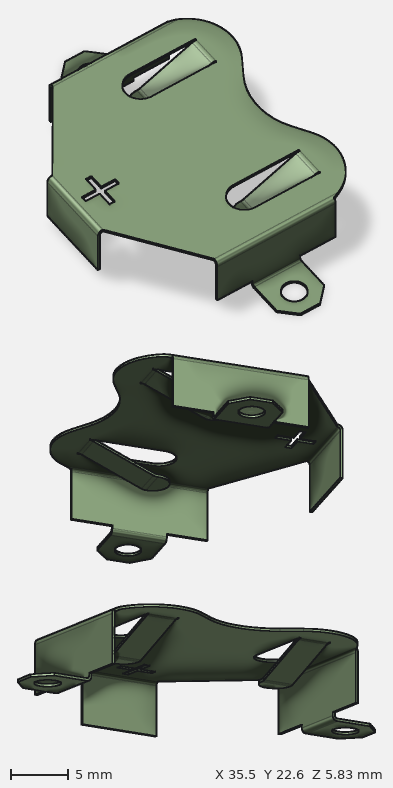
import cadquery as cq
import math

thickness = 0.25
overall_length = 35.55
overall_height = 5.83
plate_mid_z = overall_height - thickness / 2

side_flange_face_x = 12.7
side_flange_width = 12.65
front_flange_face_y = 12.85
front_flange_width = 7.65
flange_height = 5.1
flange_bend = 0.55
side_bend_x = side_flange_face_x - flange_bend
front_bend_y = front_flange_face_y - flange_bend

tab_width = 5.1
tab_bend = 0.2
tab_chamfer = 1.5
tab_hole_diameter = 2.35
tab_hole_x = 15.35

lobe_x = 7.82
lobe_radius = 4.8
notch_radius = 6.75
rear_y = 9.78
notch_bottom_y = 6.97
lobe_y = rear_y - lobe_radius

slot_width = 3.2
slot_rear_y = 6.97
finger_width = 2.95
finger_tip_y = -0.95
finger_depth = 2.77
finger_angle = math.radians(23)
finger_root_bend = 0.95
finger_pad_bend = 0.95

plus_y = -9.85
plus_length = 3.55
plus_stroke = 0.57

overlap = 0.35
cut_depth = 2 * thickness


def bent_strip(path, start_x, width):
    """Sheet strip following a middle line in XZ that leaves start_x along +X in the plate."""
    section = cq.Workplane("YZ", origin=(start_x, 0, plate_mid_z)).rect(width, thickness)
    return section.sweep(path)


def fold_path(bend_x):
    """Middle line running along the plate and turning down at bend_x."""
    radius = flange_bend - thickness / 2
    path = cq.Workplane("XZ").moveTo(bend_x - overlap, plate_mid_z)
    return path.hLine(overlap).tangentArcPoint((radius, -radius))


def flange(bend_x, width):
    """Plain flange folded straight down."""
    path = fold_path(bend_x).vLineTo(overall_height - flange_height)
    return bent_strip(path, bend_x - overlap, width)


def plate():
    """Flat top, bounded by the bend lines and the rear lobes."""
    lobe_to_bend = side_bend_x - lobe_x
    lobe_end_y = lobe_y + math.sqrt(lobe_radius**2 - lobe_to_bend**2)
    notch_y = notch_bottom_y + notch_radius
    rise = notch_y - lobe_y
    centre_distance = math.hypot(lobe_x, rise)
    tangent_turn = math.asin((lobe_radius + notch_radius) / centre_distance)
    line_angle = tangent_turn - math.atan2(rise, lobe_x)
    lobe_joint_x = lobe_x - lobe_radius * math.sin(line_angle)
    lobe_joint_y = lobe_y + lobe_radius * math.cos(line_angle)
    notch_joint_x = notch_radius * math.sin(line_angle)
    notch_joint_y = notch_y - notch_radius * math.cos(line_angle)
    outline = (
        cq.Workplane("XY", origin=(0, 0, overall_height - thickness))
        .moveTo(-front_flange_width / 2, -front_bend_y)
        .lineTo(front_flange_width / 2, -front_bend_y)
        .lineTo(side_bend_x, -side_flange_width / 2)
        .lineTo(side_bend_x, lobe_end_y)
        .threePointArc((lobe_x, rear_y), (lobe_joint_x, lobe_joint_y))
        .lineTo(notch_joint_x, notch_joint_y)
        .threePointArc((0, notch_bottom_y), (-notch_joint_x, notch_joint_y))
        .lineTo(-lobe_joint_x, lobe_joint_y)
        .threePointArc((-lobe_x, rear_y), (-side_bend_x, lobe_end_y))
        .lineTo(-side_bend_x, -side_flange_width / 2)
        .close()
    )
    return outline.extrude(thickness)


def lobe_edge():
    """Sliver of the lobe that continues past the bend line and curls down with it."""
    strip = flange(side_bend_x, 2 * lobe_radius).translate((0, lobe_y, 0))
    lobe = cq.Workplane("XY").center(lobe_x, lobe_y).circle(lobe_radius).extrude(overall_height)
    return strip.intersect(lobe)


def solder_tab():
    """Strip down the side flange and out to a chamfered tab with a hole."""
    radius = tab_bend + thickness / 2
    path = (
        fold_path(side_bend_x)
        .vLineTo(thickness / 2 + radius)
        .tangentArcPoint((radius, -radius))
        .hLineTo(overall_length / 2)
    )
    strip = bent_strip(path, side_bend_x - overlap, tab_width)
    strip = strip.faces(">X").edges("|Z").chamfer(tab_chamfer)
    hole = cq.Workplane("XY").center(tab_hole_x, 0).circle(tab_hole_diameter / 2).extrude(cut_depth)
    return strip.cut(hole)


def slot():
    """Finger slot: square at the rear and round at the front."""
    radius = slot_width / 2
    return (
        cq.Workplane("XY", origin=(0, 0, overall_height - cut_depth))
        .moveTo(-radius, slot_rear_y)
        .lineTo(-radius, 0)
        .threePointArc((0, -radius), (radius, 0))
        .lineTo(radius, slot_rear_y)
        .close()
        .extrude(2 * cut_depth)
    )


def finger():
    """Spring finger sloping down from the rear of its slot to a flat pad with a round tip."""
    sine = math.sin(finger_angle)
    sagitta = 1 - math.cos(finger_angle)
    drop = finger_depth - thickness
    slope_drop = drop - (finger_root_bend + finger_pad_bend) * sagitta
    slope_run = slope_drop / math.tan(finger_angle)
    start_x = -slot_rear_y - overlap
    path = (
        cq.Workplane("XZ")
        .moveTo(start_x, plate_mid_z)
        .hLine(overlap)
        .tangentArcPoint((finger_root_bend * sine, -finger_root_bend * sagitta))
        .line(slope_run, -slope_drop)
        .tangentArcPoint((finger_pad_bend * sine, -finger_pad_bend * sagitta))
        .hLineTo(-finger_tip_y)
    )
    strip = bent_strip(path, start_x, finger_width)
    tip_radius = finger_width / 2
    rounded = (
        cq.Workplane("XY")
        .moveTo(start_x, -tip_radius)
        .lineTo(-finger_tip_y - tip_radius, -tip_radius)
        .threePointArc((-finger_tip_y, 0), (-finger_tip_y - tip_radius, tip_radius))
        .lineTo(start_x, tip_radius)
        .close()
        .extrude(overall_height)
    )
    return turn_to_front(strip.intersect(rounded))


def plus_cutout():
    """Two crossed bars through the plate."""
    base = cq.Workplane("XY", origin=(0, plus_y, overall_height))
    bar = base.box(plus_length, plus_stroke, 2 * cut_depth)
    return bar.union(base.box(plus_stroke, plus_length, 2 * cut_depth))


def turn_to_front(body):
    """Turn a body built along +X to point along -Y."""
    return body.rotate((0, 0, 0), (0, 0, 1), -90)


side = flange(side_bend_x, side_flange_width).union(solder_tab()).union(lobe_edge())

result = plate().cut(plus_cutout())
for x in (-lobe_x, lobe_x):
    result = result.cut(slot().translate((x, 0, 0)))
    result = result.union(finger().translate((x, 0, 0)))
result = result.union(side).union(side.mirror("YZ"))
result = result.union(turn_to_front(flange(front_bend_y, front_flange_width)))